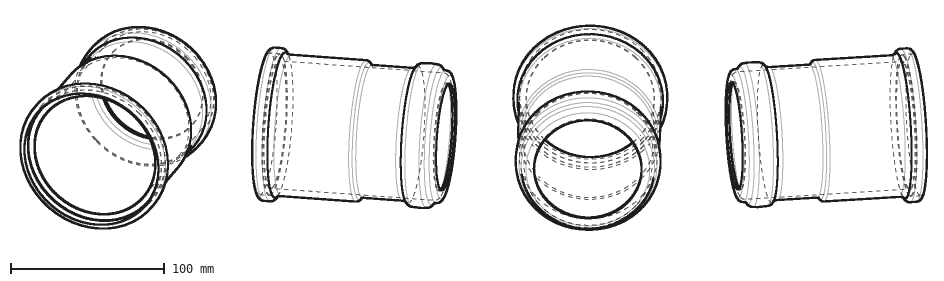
import cadquery as cq
import math

length = 119.6

body_radius = 92.6 / 2
neck_radius = 87.0 / 2
rim_radius = 100.3 / 2
bead_edge_radius = 47.0
bead_crown_radius = 47.4
edge_round = 3.1

mouth_bore_radius = 92.6 / 2
bore_radius = 83.2 / 2
end_corner_radius = 78.7 / 2
end_opening_radius = 70.0 / 2

rim_back = 7.2
rim_foot = 10.2
rim_foot_radius = 47.5
body_start = 14.2
body_end = 63.7
step_middle = 65.8
step_middle_radius = 44.8
neck_start = 67.9
bead_foot_start = 94.4
bead_edge_start = 101.1
bead_edge_end = 110.4
bead_foot_end = length - edge_round
bead_side_radius = 45.0
bead_flank = 3.1

mouth_bore_depth = 6.7
end_lip_thickness = neck_radius - bore_radius
edge_break = 0.3


def midpoint_of_level_arc(level, other):
    """Middle of the arc that runs parallel to Y at level and ends at other."""
    rise = other[0] - level[0]
    run = other[1] - level[1]
    radius = (rise**2 + run**2) / (2 * abs(rise))
    half_angle = math.atan2(abs(rise), abs(run))
    mid_rise = math.copysign(radius * (1 - math.cos(half_angle)), rise)
    mid_run = math.copysign(radius * math.sin(half_angle), run)
    return (level[0] + mid_rise, level[1] + mid_run)


def arc_from_level(profile, start, end):
    return profile.threePointArc(midpoint_of_level_arc(start, end), end)


def arc_to_level(profile, start, end):
    return profile.threePointArc(midpoint_of_level_arc(end, start), end)


def s_curve(profile, start, middle, end):
    """Two arcs meeting at middle, parallel to Y at start and end."""
    profile = arc_from_level(profile, start, middle)
    return arc_to_level(profile, middle, end)


def add_mouth_rim(profile):
    front = (rim_radius, edge_round)
    back = (rim_radius, rim_back)
    profile = profile.lineTo(rim_radius - edge_round, 0)
    profile = arc_to_level(profile, (rim_radius - edge_round, 0), front)
    profile = profile.lineTo(*back)
    return s_curve(profile, back, (rim_foot_radius, rim_foot), (body_radius, body_start))


def add_step_to_neck(profile):
    start = (body_radius, body_end)
    middle = (step_middle_radius, step_middle)
    profile = profile.lineTo(*start)
    return s_curve(profile, start, middle, (neck_radius, neck_start))


def add_bead(profile):
    foot_start = (neck_radius, bead_foot_start)
    edge_start = (bead_edge_radius, bead_edge_start)
    crown = (bead_crown_radius, (bead_edge_start + bead_edge_end) / 2)
    edge_end = (bead_edge_radius, bead_edge_end)
    foot_end = (neck_radius, bead_foot_end)
    profile = profile.lineTo(*foot_start)
    profile = s_curve(profile, foot_start, (bead_side_radius, bead_edge_start - bead_flank), edge_start)
    profile = profile.threePointArc(crown, edge_end)
    return s_curve(profile, edge_end, (bead_side_radius, bead_edge_end + bead_flank), foot_end)


def add_far_end(profile):
    end_edge = (neck_radius - edge_round, length)
    profile = arc_from_level(profile, (neck_radius, bead_foot_end), end_edge)
    profile = profile.lineTo(end_opening_radius, length)
    return profile.lineTo(end_opening_radius, length - end_lip_thickness + edge_break)


def add_bore(profile):
    lip_inner = length - end_lip_thickness
    corner_start = (end_corner_radius, lip_inner)
    corner_end = (bore_radius, lip_inner - (bore_radius - end_corner_radius))
    profile = profile.lineTo(end_opening_radius + edge_break, lip_inner)
    profile = profile.lineTo(*corner_start)
    profile = arc_to_level(profile, corner_start, corner_end)
    profile = profile.lineTo(bore_radius, mouth_bore_depth + edge_break)
    profile = profile.lineTo(bore_radius + edge_break, mouth_bore_depth)
    profile = profile.lineTo(mouth_bore_radius - edge_break, mouth_bore_depth)
    return profile.lineTo(mouth_bore_radius, mouth_bore_depth - edge_break)


section = cq.Workplane("XY").moveTo(mouth_bore_radius, 0)
section = add_mouth_rim(section)
section = add_step_to_neck(section)
section = add_bead(section)
section = add_far_end(section)
section = add_bore(section)
result = section.close().revolve(360, (0, 0, 0), (0, 1, 0))